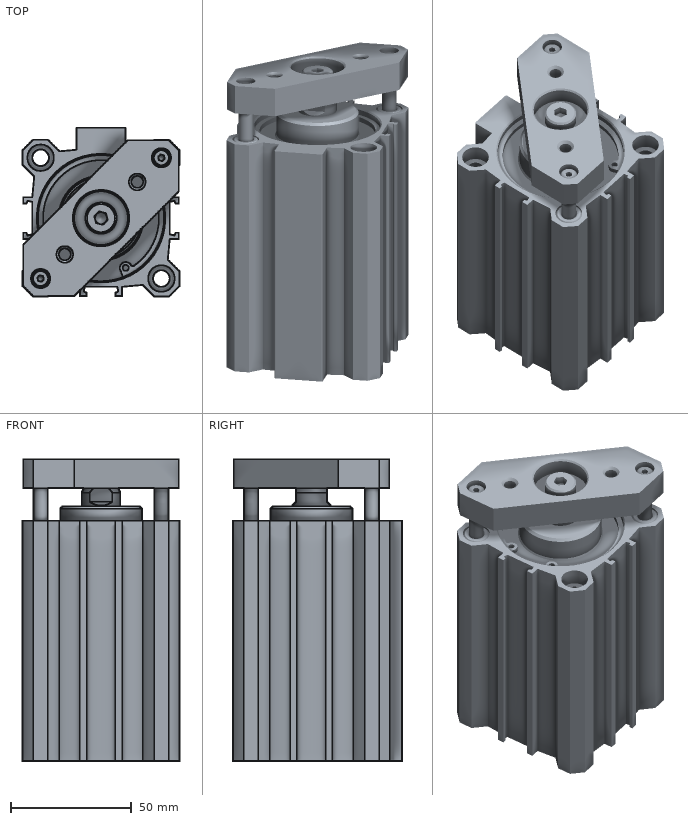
import cadquery as cq
import math

BODY_LENGTH = 99.5
BODY_HALF = 32.5
ROD_GAP = 13.5
PLATE_THICKNESS = 12.0
PLATE_BOTTOM = BODY_LENGTH + ROD_GAP
PLATE_TOP = PLATE_BOTTOM + PLATE_THICKNESS
CORNER = 25.0
THROUGH_CORNERS = [(-CORNER, CORNER), (CORNER, -CORNER)]
GUIDE_CORNERS = [(-CORNER, -CORNER), (CORNER, CORNER)]

FACE = 28.5
EAR_BEVEL = 4.4
EAR_FLAT_END = 22.0
EAR_ROOT = (17.2, 27.7)
RIB_OUTER = 8.7
RIB_LIP_INNER = 6.0
RIB_NECK_INNER = 7.1
RIB_ROOT_INNER = 6.5
RIB_TIP = 32.25
RIB_LIP = 1.4
RIB_LIP_SLOPE = 0.5
BLOCK_HALF_WIDTH = 10.2
BLOCK_REACH = 37.5
BLOCK_EDGE_RADIUS = 0.5

BOLT_HOLE_DIA = 6.8
BOLT_HEAD_HOLE_DIA = 11.0
BOLT_HEAD_HOLE_DEPTH = 7.0

BORE_DIA = 52.2
BORE_CHAMFER = 0.55
BORE_DEPTH = 4.8
COLLAR_DIA = 34.0
COLLAR_HEIGHT = 6.0
COLLAR_CHAMFER = 1.0
COLLAR_FOOT = 0.6

PIN_DIA = 6.0
PIN_DEPTH = 50.0
SEAT_DIA = 11.0
SEAT_GROOVE = 0.75
PIN_MOUTH_CHAMFER = 0.5

ROD_DIA = 16.0
ROD_DEPTH = 50.0
ROD_FLATS = 13.0
ROD_FLAT_BOTTOM = BODY_LENGTH + 7.8
ROD_CHAMFER_HEIGHT = 1.9
ROD_CHAMFER_WIDTH = 0.8

RING_INNER_DIA = 48.0
RING_THICKNESS = 2.0
LUG_X = 10.25
LUG_Y = -20.6
LUG_RADIUS = 2.45
LUG_HOLE_DIA = 2.5
LUG_BLEND = 0.9

PLATE_HALF = 32.25
PLATE_WIDTH = 30.0
PLATE_BEVEL = 4.2
BIG_RECESS_DIA = 22.2
BIG_RECESS_DEPTH = 7.0
BIG_RECESS_CHAMFER = 0.6
ROD_SCREW_CLEARANCE = 8.57
SMALL_RECESS_DIA = 8.0
SMALL_RECESS_DEPTH = 5.0
PIN_SCREW_CLEARANCE = 4.5
TAPPED_HOLE_OFFSET = 15.0
TAPPED_HOLE_DIA = 4.92
TAPPED_HOLE_CHAMFER = 1.0

ROD_SCREW = dict(head=13.0, height=5.0, edge=0.7, shank=8.0, length=20.0, hexagon=5.0, socket=3.5)
PIN_SCREW = dict(head=7.0, height=3.2, edge=0.4, shank=4.0, length=15.0, hexagon=2.5, socket=2.5)
SOCKET_TIP_ANGLE = 120.0
HEX_TURN = 45.0


def cylinder(diameter, bottom, top, x=0.0, y=0.0):
    return cq.Workplane("XY", origin=(x, y, bottom)).circle(diameter / 2).extrude(top - bottom)


def cone(bottom_dia, top_dia, bottom, top, x=0.0, y=0.0):
    solid = cq.Solid.makeCone(bottom_dia / 2, top_dia / 2, top - bottom, cq.Vector(x, y, bottom))
    return cq.Workplane(solid)


def turned_point(point, turn):
    """Turn a point about the Z axis by a number of quarter turns."""
    x, y = point
    for _ in range(turn):
        x, y = -y, x
    return (x, y)


def housing_core():
    ear = [
        (FACE, RIB_OUTER),
        (EAR_ROOT[1], EAR_ROOT[0]),
        (BODY_HALF, EAR_FLAT_END),
        (BODY_HALF, BODY_HALF - EAR_BEVEL),
        (BODY_HALF - EAR_BEVEL, BODY_HALF),
        (EAR_FLAT_END, BODY_HALF),
        EAR_ROOT,
        (RIB_OUTER, FACE),
    ]
    outline = [turned_point(p, turn) for turn in range(4) for p in ear]
    return cq.Workplane("XY").polyline(outline).close().extrude(BODY_LENGTH)


def hooked_rib(side):
    """Rib on the -Y face; side is +1 or -1 and the lip points towards the middle."""
    lip_start = RIB_TIP - RIB_LIP
    profile = [
        (RIB_OUTER, EAR_ROOT[1]),
        (RIB_OUTER, RIB_TIP),
        (RIB_LIP_INNER, RIB_TIP),
        (RIB_LIP_INNER, lip_start),
        (RIB_NECK_INNER, lip_start - RIB_LIP_SLOPE),
        (RIB_ROOT_INNER, EAR_ROOT[1]),
    ]
    outline = [(side * across, -out) for across, out in profile]
    return cq.Workplane("XY").polyline(outline).close().extrude(BODY_LENGTH)


def side_block():
    block = cq.Workplane("XY").box(2 * BLOCK_HALF_WIDTH, BLOCK_REACH - EAR_ROOT[1], BODY_LENGTH,
                                   centered=(True, False, False))
    return block.translate((0, EAR_ROOT[1], 0)).edges("|Z and >Y").fillet(BLOCK_EDGE_RADIUS)


def bore_recess():
    """Ring-shaped recess between the bore wall and the collar, with a flared collar foot."""
    floor = BODY_LENGTH - BORE_DEPTH
    recess = cylinder(BORE_DIA, floor, BODY_LENGTH)
    mouth = cone(BORE_DIA, BORE_DIA + 2 * BORE_CHAMFER, BODY_LENGTH - BORE_CHAMFER, BODY_LENGTH)
    foot = cone(COLLAR_DIA + 2 * COLLAR_FOOT, COLLAR_DIA, floor, floor + COLLAR_FOOT)
    return recess.union(mouth).cut(cylinder(COLLAR_DIA, floor, BODY_LENGTH)).cut(foot)


def collar():
    raised = cylinder(COLLAR_DIA, BODY_LENGTH, BODY_LENGTH + COLLAR_HEIGHT)
    return raised.faces(">Z").chamfer(COLLAR_CHAMFER)


def guide_seat(x, y):
    """Pin hole with a bevelled mouth, and the V groove around its bush seat."""
    hole = cylinder(PIN_DIA, BODY_LENGTH - PIN_DEPTH, BODY_LENGTH, x, y)
    mouth = cone(PIN_DIA, PIN_DIA + 2 * PIN_MOUTH_CHAMFER,
                 BODY_LENGTH - PIN_MOUTH_CHAMFER, BODY_LENGTH, x, y)
    groove_bottom = BODY_LENGTH - SEAT_GROOVE
    groove = cylinder(SEAT_DIA, groove_bottom, BODY_LENGTH, x, y)
    groove = groove.cut(cone(SEAT_DIA, SEAT_DIA - 2 * SEAT_GROOVE, groove_bottom, BODY_LENGTH, x, y))
    return hole.union(mouth).union(groove)


def make_housing():
    body = housing_core().union(side_block())
    for turn in (0, 1, -1):
        for side in (1, -1):
            body = body.union(hooked_rib(side).rotate((0, 0, 0), (0, 0, 1), 90 * turn))
    body = body.cut(bore_recess()).union(collar())
    for x, y in THROUGH_CORNERS:
        body = body.cut(cylinder(BOLT_HOLE_DIA, 0, BODY_LENGTH, x, y))
        body = body.cut(cylinder(BOLT_HEAD_HOLE_DIA, BODY_LENGTH - BOLT_HEAD_HOLE_DEPTH, BODY_LENGTH, x, y))
    for x, y in GUIDE_CORNERS:
        body = body.cut(guide_seat(x, y))
    return body.cut(cylinder(ROD_DIA, BODY_LENGTH - ROD_DEPTH, BODY_LENGTH + COLLAR_HEIGHT))


def make_snap_ring():
    bottom = BODY_LENGTH - BORE_DEPTH
    top = bottom + RING_THICKNESS
    lug_centre = math.hypot(LUG_X, LUG_Y)
    lug_angle = math.atan2(-LUG_Y, LUG_X)
    band = cylinder(BORE_DIA, bottom, top).cut(cylinder(RING_INNER_DIA, bottom, top))

    gap_x = LUG_X - LUG_RADIUS * math.sin(lug_angle)
    gap_y = LUG_Y - LUG_RADIUS * math.cos(lug_angle)
    reach = BORE_DIA / math.hypot(gap_x, gap_y)
    gap = [(0, 0), (-gap_x * reach, gap_y * reach), (gap_x * reach, gap_y * reach)]
    wedge = cq.Workplane("XY", origin=(0, 0, bottom)).polyline(gap).close().extrude(RING_THICKNESS)
    ring = band.cut(wedge)

    inner = RING_INNER_DIA / 2
    root_angle = math.asin(LUG_RADIUS / inner) - lug_angle
    root_x = inner * math.cos(root_angle)
    root_y = inner * math.sin(root_angle)

    for side in (1, -1):
        arm = cq.Workplane("XY", origin=(lug_centre, 0, bottom))
        arm = arm.rect(BORE_DIA / 2, 2 * LUG_RADIUS, centered=(False, True)).extrude(RING_THICKNESS)
        arm = arm.rotate((0, 0, 0), (0, 0, 1), math.degrees(math.atan2(LUG_Y, side * LUG_X)))
        lug = cylinder(2 * LUG_RADIUS, bottom, top, side * LUG_X, LUG_Y).union(arm)
        lug = lug.intersect(cylinder(BORE_DIA, bottom, top))
        ring = ring.union(lug)
        root = (side * root_x, root_y, bottom + RING_THICKNESS / 2)
        ring = ring.edges(cq.selectors.NearestToPointSelector(root)).fillet(LUG_BLEND)
        ring = ring.cut(cylinder(LUG_HOLE_DIA, bottom, top, side * LUG_X, LUG_Y))
    return ring


def make_plate():
    shift = PLATE_WIDTH / math.sqrt(2)
    edge = PLATE_HALF
    half = [
        (edge, edge - shift),
        (edge, edge - PLATE_BEVEL),
        (edge - PLATE_BEVEL, edge),
        (edge - shift, edge),
    ]
    outline = half + [(-x, -y) for x, y in half]
    plate = cq.Workplane("XY", origin=(0, 0, PLATE_BOTTOM)).polyline(outline).close()
    plate = plate.extrude(PLATE_THICKNESS)

    plate = plate.cut(cylinder(BIG_RECESS_DIA, PLATE_TOP - BIG_RECESS_DEPTH, PLATE_TOP))
    plate = plate.cut(cone(BIG_RECESS_DIA, BIG_RECESS_DIA + 2 * BIG_RECESS_CHAMFER,
                           PLATE_TOP - BIG_RECESS_CHAMFER, PLATE_TOP))
    plate = plate.cut(cylinder(ROD_SCREW_CLEARANCE, PLATE_BOTTOM, PLATE_TOP))

    for x, y in GUIDE_CORNERS:
        plate = plate.cut(cylinder(SMALL_RECESS_DIA, PLATE_TOP - SMALL_RECESS_DEPTH, PLATE_TOP, x, y))
        plate = plate.cut(cylinder(PIN_SCREW_CLEARANCE, PLATE_BOTTOM, PLATE_TOP, x, y))

    for offset in (TAPPED_HOLE_OFFSET, -TAPPED_HOLE_OFFSET):
        plate = plate.cut(cylinder(TAPPED_HOLE_DIA, PLATE_BOTTOM, PLATE_TOP, offset, offset))
        plate = plate.cut(cone(TAPPED_HOLE_DIA, TAPPED_HOLE_DIA + 2 * TAPPED_HOLE_CHAMFER,
                               PLATE_TOP - TAPPED_HOLE_CHAMFER, PLATE_TOP, offset, offset))
    return plate


def make_screw(size, seat, x, y):
    top = seat + size["height"]
    screw = cylinder(size["head"], seat, top, x, y).faces(">Z").chamfer(size["edge"])
    screw = screw.union(cylinder(size["shank"], seat - size["length"], seat, x, y))
    corner_dia = size["hexagon"] / math.cos(math.pi / 6)
    floor = top - size["socket"]
    socket = cq.Workplane("XY").polygon(6, corner_dia).extrude(size["socket"])
    socket = socket.rotate((0, 0, 0), (0, 0, 1), HEX_TURN).translate((x, y, floor))
    tip_height = size["hexagon"] / 2 / math.tan(math.radians(SOCKET_TIP_ANGLE / 2))
    return screw.cut(socket).cut(cone(0, size["hexagon"], floor - tip_height, floor, x, y))


def make_rod(screw_end):
    shank = cylinder(ROD_DIA, BODY_LENGTH - ROD_DEPTH, PLATE_BOTTOM)
    shank = shank.faces(">Z").chamfer(ROD_CHAMFER_HEIGHT, ROD_CHAMFER_WIDTH)
    flat = ROD_FLATS / 2
    runout = ROD_DIA - flat
    for side in (1, -1):
        profile = [
            (side * flat, ROD_FLAT_BOTTOM),
            (side * ROD_DIA, ROD_FLAT_BOTTOM - runout),
            (side * ROD_DIA, PLATE_BOTTOM),
            (side * flat, PLATE_BOTTOM),
        ]
        notch = cq.Workplane("YZ").polyline(profile).close().extrude(ROD_DIA / 2, both=True)
        shank = shank.cut(notch)
    return shank.cut(cylinder(ROD_SCREW["shank"], screw_end, PLATE_BOTTOM))


def make_guide_pin(x, y, screw_end):
    pin = cylinder(PIN_DIA, BODY_LENGTH - PIN_DEPTH, PLATE_BOTTOM, x, y)
    return pin.cut(cylinder(PIN_SCREW["shank"], screw_end, PLATE_BOTTOM, x, y))


rod_screw_seat = PLATE_TOP - BIG_RECESS_DEPTH
pin_screw_seat = PLATE_TOP - SMALL_RECESS_DEPTH

housing = make_housing()
snap_ring = make_snap_ring()
rod = make_rod(rod_screw_seat - ROD_SCREW["length"])
plate = make_plate()
rod_screw = make_screw(ROD_SCREW, rod_screw_seat, 0, 0)
guide_pins = [make_guide_pin(x, y, pin_screw_seat - PIN_SCREW["length"]) for x, y in GUIDE_CORNERS]
pin_screws = [make_screw(PIN_SCREW, pin_screw_seat, x, y) for x, y in GUIDE_CORNERS]

bodies = [housing, snap_ring, rod, plate, rod_screw] + guide_pins + pin_screws
result = cq.Compound.makeCompound([body.val() for body in bodies])